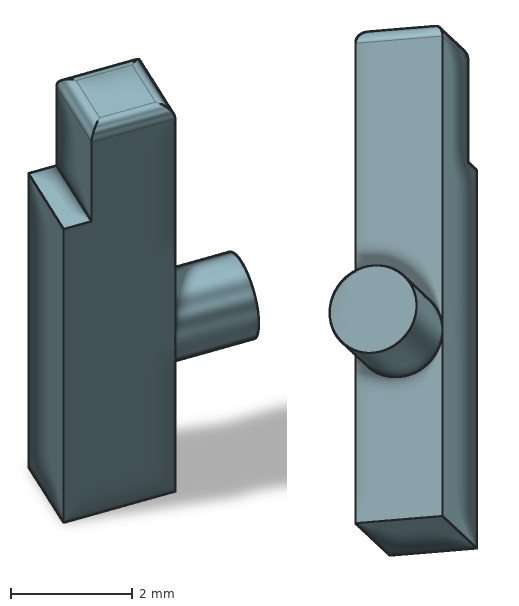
import cadquery as cq

width = 1.5
body_depth = 2.0
tip_depth = width
total_height = 8.5
shoulder_height = 6.5
tip_fillet = 0.25

peg_diameter = width
peg_length = 1.5
peg_height = 3.2


def make_bar():
    """Stepped bar, centred on X, with its rear face on Y = 0."""
    bar = (
        cq.Workplane("YZ")
        .moveTo(0, 0)
        .lineTo(-body_depth, 0)
        .lineTo(-body_depth, shoulder_height)
        .lineTo(-tip_depth, shoulder_height)
        .lineTo(-tip_depth, total_height)
        .lineTo(0, total_height)
        .close()
        .extrude(width / 2, both=True)
    )
    return bar.faces(">Z").edges().fillet(tip_fillet)


def make_peg():
    """Round peg pointing along +Y from the rear face."""
    return cq.Workplane(
        cq.Plane(origin=(0, 0, peg_height), xDir=(1, 0, 0), normal=(0, 1, 0))
    ).circle(peg_diameter / 2).extrude(peg_length)


result = make_bar().union(make_peg())